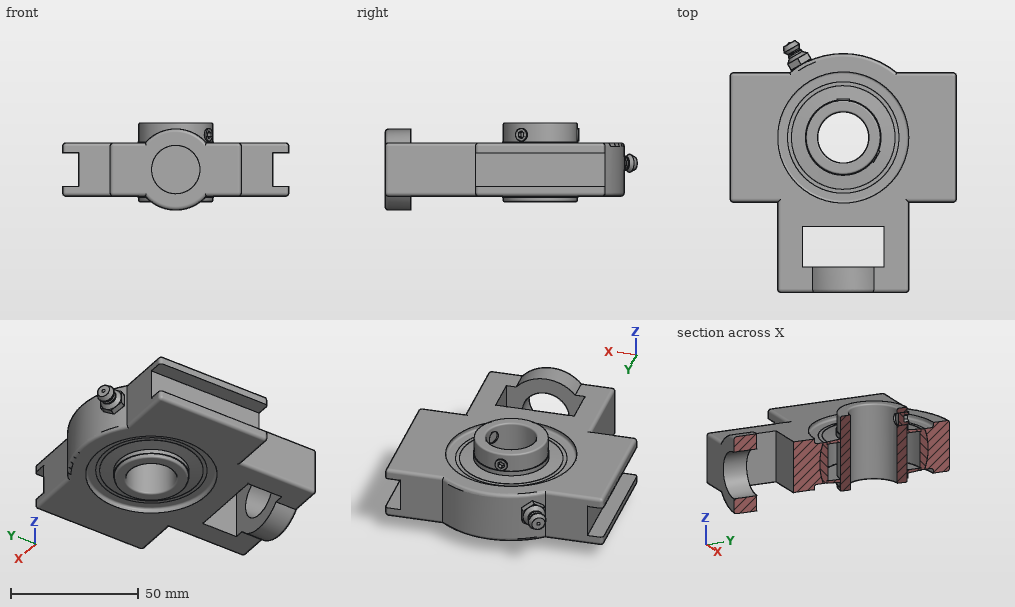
import cadquery as cq
import math


WING_SPAN = 89.0
WING_LENGTH = 51.0
STEM_WIDTH = 51.6
STEM_END = 61.0
PLATE_HEIGHT = 21.0
CROWN_RADIUS = 33.0
EDGE_RADIUS = 1.4
RECESS_DIAMETER = 51.6
RECESS_FLOOR_RADIUS = 0.9
GUIDE_DEPTH = 6.3
GUIDE_HEIGHT = 13.2
WINDOW_WIDTH = 32.0
WINDOW_START = 35.0
WINDOW_END = 50.9
BOSS_DIAMETER = 31.9
BOSS_BORE = 19.0

OUTER_RING_WIDTH = 17.0
OUTER_RING_SPHERE = 47.0
OUTER_RING_BORE = 40.0
SEAL_DIAMETER = 40.8
SEAL_SEAT_DEPTH = 1
SEAL_RIM_HEIGHT = 0.1
SEAL_CONE_TOP = 9.0
SEAL_LIP_DIAMETER = 29.8
SEAL_LIP_TOP = 10.9

INNER_RING_TOP = 18.35
INNER_RING_BOTTOM = -12.7
INNER_RING_DIAMETER = 29.2
SHAFT_BORE = 20.0
INNER_RING_EDGE_RADIUS = 0.7

SCREW_DIAMETER = 5
SCREW_HEIGHT = 13.7
SCREW_ANGLES = (90, -30)
SCREW_INNER_END = 10.5
SCREW_OUTER_END = 15.2
SCREW_SOCKET_FLATS = 2.5
SCREW_SOCKET_DEPTH = 2

NIPPLE_ANGLE = 120
NIPPLE_HEIGHT = 2.5
NIPPLE_SHANK_DIAMETER = 6
NIPPLE_SHANK_LENGTH = 5
NIPPLE_HEX_FLATS = 9.0
NIPPLE_HEX_BASE = 33.1
NIPPLE_HEX_TOP = 35.9
NIPPLE_COLLAR_DIAMETER = 6
NIPPLE_COLLAR_START = 37.4
NIPPLE_COLLAR_END = 38.1
NIPPLE_NECK_DIAMETER = 5.2
NIPPLE_NECK_START = 38.6
NIPPLE_NECK_END = 39.1
NIPPLE_HEAD_DIAMETER = 7.1
NIPPLE_HEAD_STATION = 40.5
NIPPLE_TIP_DIAMETER = 5.3
NIPPLE_TIP = 42.6
NIPPLE_BALL_DIAMETER = 1.5
NIPPLE_BALL_RISE = 0.4


def radial_plane(angle, height, distance=0):
    """Plane facing away from the bearing axis, with its local Y along Z."""
    outward = cq.Vector(math.cos(math.radians(angle)), math.sin(math.radians(angle)), 0)
    origin = outward * distance + cq.Vector(0, 0, height)
    sideways = cq.Vector(0, 0, -1).cross(outward)
    return cq.Plane(origin=origin, xDir=sideways, normal=outward)


def make_nipple_shank():
    base = NIPPLE_HEX_BASE - NIPPLE_SHANK_LENGTH
    plane = radial_plane(NIPPLE_ANGLE, NIPPLE_HEIGHT, base)
    return cq.Workplane(plane).circle(NIPPLE_SHANK_DIAMETER / 2).extrude(NIPPLE_SHANK_LENGTH)


def make_plate():
    """T-shaped plate made of two blocks with rounded edges: the wings and the stem."""
    wings = cq.Workplane("XY").box(WING_SPAN, WING_LENGTH, PLATE_HEIGHT)
    wings = wings.edges().fillet(EDGE_RADIUS)
    stem = cq.Workplane("XY").box(STEM_WIDTH, STEM_END, PLATE_HEIGHT)
    stem = stem.translate((0, -STEM_END / 2, 0)).edges().fillet(EDGE_RADIUS)
    return wings.union(stem)


def make_bearing_ball():
    """Solid envelope of the outer ring: a sphere cut flat at both ends."""
    ball = cq.Workplane("XY").sphere(OUTER_RING_SPHERE / 2)
    return ball.intersect(cq.Workplane("XY").box(RECESS_DIAMETER, RECESS_DIAMETER, OUTER_RING_WIDTH))


def make_housing():
    crown = cq.Workplane("XY").circle(CROWN_RADIUS).extrude(PLATE_HEIGHT / 2, both=True)
    crown = crown.edges().fillet(EDGE_RADIUS)

    boss_plane = cq.Workplane("XZ", origin=(0, -WINDOW_END, 0))
    boss_length = STEM_END - WINDOW_END
    boss = boss_plane.circle(BOSS_DIAMETER / 2).extrude(boss_length)
    boss = boss.faces("<Y").edges().fillet(EDGE_RADIUS)
    boss_bore = boss_plane.circle(BOSS_BORE / 2).extrude(boss_length)

    recess_depth = (PLATE_HEIGHT - OUTER_RING_WIDTH) / 2
    recess = cq.Workplane("XY").workplane(offset=OUTER_RING_WIDTH / 2)
    recess = recess.circle(RECESS_DIAMETER / 2).extrude(recess_depth)
    recess = recess.faces("<Z").edges().fillet(RECESS_FLOOR_RADIUS)

    window_length = WINDOW_END - WINDOW_START
    window = cq.Workplane("XY").box(WINDOW_WIDTH, window_length, PLATE_HEIGHT)
    window = window.translate((0, -(WINDOW_START + WINDOW_END) / 2, 0))

    housing = make_plate().union(crown).union(boss)
    housing = housing.cut(recess).cut(recess.mirror("XY")).cut(make_bearing_ball())
    housing = housing.cut(window).cut(boss_bore)
    for side in (-1, 1):
        guide = cq.Workplane("XY").box(GUIDE_DEPTH, WING_LENGTH, GUIDE_HEIGHT)
        housing = housing.cut(guide.translate((side * (WING_SPAN - GUIDE_DEPTH) / 2, 0, 0)))
    return housing.cut(make_nipple_shank())


def make_outer_ring():
    seat = cq.Workplane("XY").workplane(offset=OUTER_RING_WIDTH / 2 - SEAL_SEAT_DEPTH)
    seat = seat.circle(SEAL_DIAMETER / 2).extrude(SEAL_SEAT_DEPTH)
    bore = cq.Workplane("XY").circle(OUTER_RING_BORE / 2).extrude(OUTER_RING_WIDTH / 2, both=True)
    return make_bearing_ball().cut(bore).cut(seat).cut(seat.mirror("XY"))


def make_seal():
    """Upper seal: a shallow cone with a rim in the outer ring and a lip on the inner ring."""
    inner_radius = INNER_RING_DIAMETER / 2
    rim_radius = SEAL_DIAMETER / 2
    lip_radius = SEAL_LIP_DIAMETER / 2
    ring_face = OUTER_RING_WIDTH / 2
    profile = [
        (inner_radius, ring_face - SEAL_SEAT_DEPTH),
        (rim_radius, ring_face - SEAL_SEAT_DEPTH),
        (rim_radius, ring_face + SEAL_RIM_HEIGHT),
        (lip_radius, SEAL_CONE_TOP),
        (lip_radius, SEAL_LIP_TOP),
        (inner_radius, SEAL_LIP_TOP),
    ]
    return cq.Workplane("XZ").polyline(profile).close().revolve(360, (0, 0, 0), (0, 1, 0))


def make_inner_ring():
    ring = cq.Workplane("XY").workplane(offset=INNER_RING_BOTTOM)
    ring = ring.circle(INNER_RING_DIAMETER / 2).circle(SHAFT_BORE / 2)
    ring = ring.extrude(INNER_RING_TOP - INNER_RING_BOTTOM)
    ring = ring.faces("|Z").edges().fillet(INNER_RING_EDGE_RADIUS)
    for angle in SCREW_ANGLES:
        hole = cq.Workplane(radial_plane(angle, SCREW_HEIGHT))
        ring = ring.cut(hole.circle(SCREW_DIAMETER / 2).extrude(INNER_RING_DIAMETER))
    return ring


def make_set_screw(angle):
    screw = cq.Workplane(radial_plane(angle, SCREW_HEIGHT, SCREW_INNER_END))
    screw = screw.circle(SCREW_DIAMETER / 2).extrude(SCREW_OUTER_END - SCREW_INNER_END)
    socket = cq.Workplane(radial_plane(angle, SCREW_HEIGHT, SCREW_OUTER_END))
    socket = socket.polygon(6, SCREW_SOCKET_FLATS, circumscribed=True).extrude(-SCREW_SOCKET_DEPTH)
    return screw.cut(socket)


def make_grease_nipple():
    hexagon = cq.Workplane(radial_plane(NIPPLE_ANGLE, NIPPLE_HEIGHT, NIPPLE_HEX_BASE))
    hexagon = hexagon.polygon(6, NIPPLE_HEX_FLATS, circumscribed=True).extrude(NIPPLE_HEX_TOP - NIPPLE_HEX_BASE)

    profile = [
        (0, NIPPLE_HEX_TOP),
        (NIPPLE_HEX_FLATS / 2, NIPPLE_HEX_TOP),
        (NIPPLE_COLLAR_DIAMETER / 2, NIPPLE_COLLAR_START),
        (NIPPLE_COLLAR_DIAMETER / 2, NIPPLE_COLLAR_END),
        (NIPPLE_NECK_DIAMETER / 2, NIPPLE_NECK_START),
        (NIPPLE_NECK_DIAMETER / 2, NIPPLE_NECK_END),
        (NIPPLE_HEAD_DIAMETER / 2, NIPPLE_HEAD_STATION),
        (NIPPLE_TIP_DIAMETER / 2, NIPPLE_TIP),
        (0, NIPPLE_TIP),
    ]
    axial_plane = cq.Plane(
        origin=(0, 0, NIPPLE_HEIGHT),
        xDir=(0, 0, 1),
        normal=cq.Vector(0, 0, 1).cross(radial_plane(NIPPLE_ANGLE, 0).zDir),
    )
    head = cq.Workplane(axial_plane).polyline(profile).close().revolve(360, (0, 0, 0), (0, 1, 0))
    ball_station = NIPPLE_TIP + NIPPLE_BALL_RISE - NIPPLE_BALL_DIAMETER / 2
    ball = cq.Workplane(radial_plane(NIPPLE_ANGLE, NIPPLE_HEIGHT, ball_station)).sphere(NIPPLE_BALL_DIAMETER / 2)
    return make_nipple_shank().union(hexagon).union(head).union(ball)


housing = make_housing()
outer_ring = make_outer_ring()
inner_ring = make_inner_ring()
upper_seal = make_seal()
seals = [upper_seal, upper_seal.mirror("XY")]
set_screws = [make_set_screw(angle) for angle in SCREW_ANGLES]
grease_nipple = make_grease_nipple()

bodies = [housing, outer_ring, inner_ring, *seals, *set_screws, grease_nipple]
result = cq.Compound.makeCompound([body.val() for body in bodies])